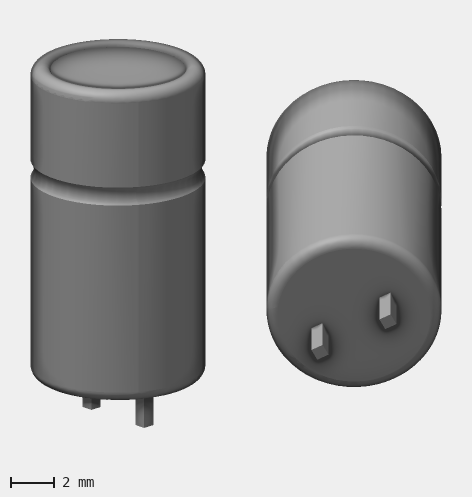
import cadquery as cq

total_height = 17.0
can_diameter = 8.0
can_radius = can_diameter / 2
pin_length = 2.0
can_height = total_height - pin_length

rim_crest_diameter = 7.0
rim_crest_radius = rim_crest_diameter / 2
edge_radius = can_radius - rim_crest_radius
lid_radius = 3.1
lid_thickness = 0.17
bead_center_height = can_height - edge_radius
lid_drop = edge_radius - (edge_radius**2 - (rim_crest_radius - lid_radius) ** 2) ** 0.5
lid_top = can_height - lid_drop

groove_center_height = can_height - 5.02
groove_width = 0.87
groove_depth = 0.15

strip_width = can_radius

pin_pitch = 3.5
pin_thickness = 0.58


def make_envelope():
    """Full can outline, revolved: rounded ends, belt groove and beaded rim."""
    groove_bottom = groove_center_height - groove_width / 2
    groove_top = groove_center_height + groove_width / 2
    diagonal = edge_radius * 0.5**0.5
    bead_middle_radius = (rim_crest_radius + lid_radius) / 2
    bead_middle_height = (
        bead_center_height + (edge_radius**2 - (rim_crest_radius - bead_middle_radius) ** 2) ** 0.5
    )
    return (
        cq.Workplane("XZ")
        .lineTo(rim_crest_radius, 0)
        .threePointArc((rim_crest_radius + diagonal, edge_radius - diagonal), (can_radius, edge_radius))
        .lineTo(can_radius, groove_bottom)
        .threePointArc((can_radius - groove_depth, groove_center_height), (can_radius, groove_top))
        .lineTo(can_radius, bead_center_height)
        .threePointArc(
            (rim_crest_radius + diagonal, bead_center_height + diagonal),
            (rim_crest_radius, can_height),
        )
        .threePointArc((bead_middle_radius, bead_middle_height), (lid_radius, lid_top))
        .lineTo(0, lid_top)
        .close()
        .revolve(360, (0, 0, 0), (0, 1, 0))
    )


def make_lid():
    """Flat disc that closes the top, inside the rim."""
    return cq.Workplane("XY", origin=(0, 0, lid_top)).circle(lid_radius).extrude(-lid_thickness)


def make_strip(envelope):
    """Full-height piece of the outer wall, between the lid radius and the outside."""
    slab = cq.Workplane("XY").box(can_radius, strip_width, can_height, centered=(False, True, False))
    core = cq.Workplane("XY").circle(lid_radius).extrude(can_height)
    return envelope.intersect(slab.cut(core))


def make_pin(x):
    """Square lead standing below the can."""
    return (
        cq.Workplane("XY")
        .center(x, 0)
        .rect(pin_thickness, pin_thickness)
        .extrude(-pin_length)
    )


envelope = make_envelope()
lid = make_lid()
strip = make_strip(envelope)
can = envelope.cut(strip).cut(lid)
pins = [make_pin(side * pin_pitch / 2) for side in (-1, 1)]

result = cq.Compound.makeCompound([can.val(), strip.val(), lid.val(), *[pin.val() for pin in pins]])